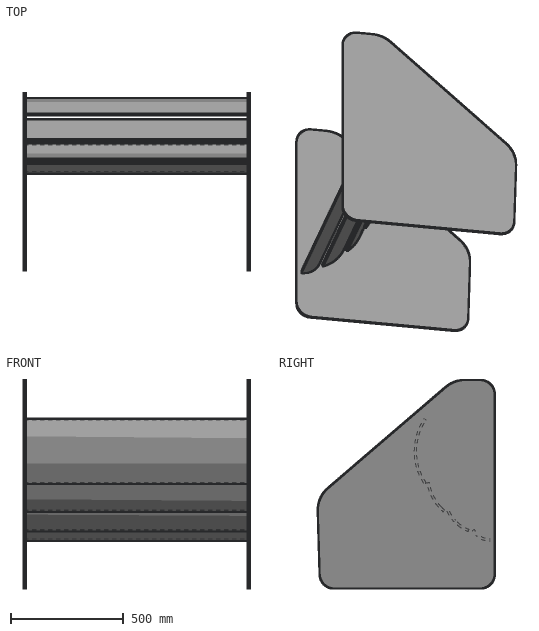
import cadquery as cq
import math

width = 1003.0
height = 927.0
plate_thickness = 10.0
slat_thickness = 10.0

base_depth = 777.0
nose_depth = 789.0
nose_height = 406.0
top_depth = 182.0
small_radius = 65.0
large_radius = 130.0

front_slat = ((314.0, 754.0), (314.0, 465.0), 44.0)
lower_slats = (
    ((301.0, 470.0), (230.0, 341.0), 13.0),
    ((214.0, 346.0), (119.0, 254.0), 13.0),
    ((100.0, 259.0), (21.0, 211.0), 13.0),
)


def point(depth, z):
    """Place a depth and height in the YZ sketch plane."""
    return (-depth, z)


def round_corner(plate, depth, z, radius):
    """Round the plate edge running along X through the given corner."""
    corner = cq.selectors.NearestToPointSelector((plate_thickness / 2, *point(depth, z)))
    return plate.edges("|X").edges(corner).fillet(radius)


def side_plate():
    """Plate with a sloping front top, starting at X = 0."""
    corners = (
        (0, 0, small_radius),
        (base_depth, 0, small_radius),
        (nose_depth, nose_height, large_radius),
        (top_depth, height, large_radius),
        (0, height, small_radius),
    )
    outline = [point(depth, z) for depth, z, _ in corners]
    plate = cq.Workplane("YZ").polyline(outline).close().extrude(plate_thickness)
    for depth, z, radius in corners:
        plate = round_corner(plate, depth, z, radius)
    return plate


def slat(top, bottom, bulge):
    """Circular-arc shell whose convex face points to the front and down."""
    drop = top[1] - bottom[1]
    setback = top[0] - bottom[0]
    chord = math.hypot(drop, setback)
    radius = (chord**2 / 4 + bulge**2) / (2 * bulge)

    outward = (drop / chord, -setback / chord)
    middle = ((top[0] + bottom[0]) / 2, (top[1] + bottom[1]) / 2)

    def along_outward(distance):
        return (middle[0] + distance * outward[0], middle[1] + distance * outward[1])

    center = along_outward(bulge - radius)
    inner_ratio = (radius - slat_thickness) / radius

    def inset(outer):
        return tuple(c + (p - c) * inner_ratio for p, c in zip(outer, center))

    crown = along_outward(bulge)
    return (
        cq.Workplane("YZ")
        .moveTo(*point(*top))
        .threePointArc(point(*crown), point(*bottom))
        .lineTo(*point(*inset(bottom)))
        .threePointArc(point(*inset(crown)), point(*inset(top)))
        .close()
        .extrude(width)
    )


plate = side_plate()
result = plate.union(plate.translate((width - plate_thickness, 0, 0)))
for top, bottom, bulge in (front_slat, *lower_slats):
    result = result.union(slat(top, bottom, bulge))